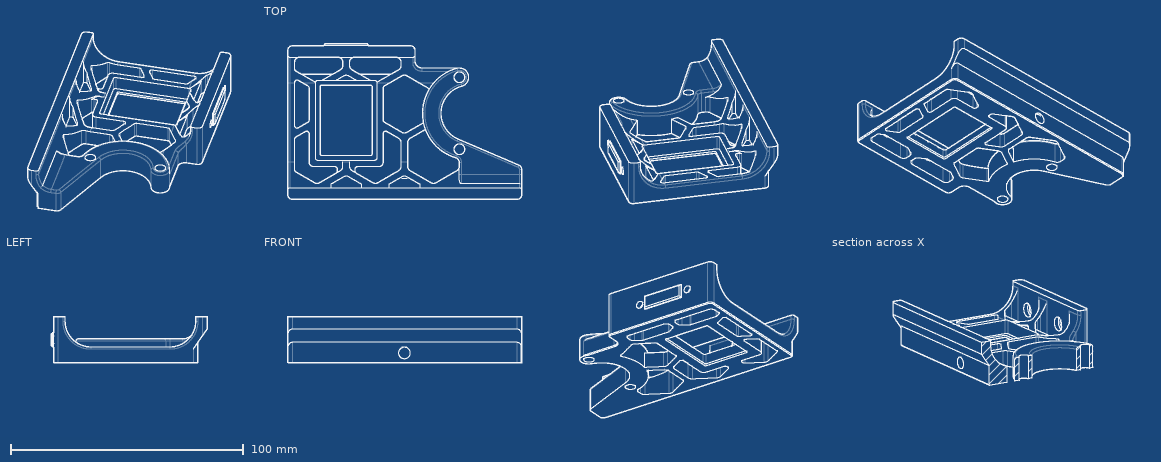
import cadquery as cq
import math

length = 100.5
width = 66.0
height = 20.0
wall = 5.0
rear_wall_length = 54.7
floor_height = 7.0
channel_radius = 11.0
corner_radius = 2.0
edge_round = 1.0
bottom_chamfer = 0.4

undercut_depth = 4.0
undercut_low = 9.0
undercut_high = 14.7

seat_x = 77.85
seat_y = 37.0
seat_inner_radius = 12.0
seat_outer_radius = 20.0
seat_height = 10.5
seat_hole_diameter = 4.5
seat_hole_angle = 15.0
gusset_slope = 23.2
gusset_blend_radius = 5.6
notch_radius = 3.0

cell_pitch = 25.0
cell_rib = 3.0
cell_corner_radius = 2.0
cell_clip_radius = 1.0
grid_x = 50.1
grid_y = 40.95
side_margin = 3.0
small_cell_half_width = 6.6

window_x = 14.0
window_y = 18.9
window_length = 22.2
window_width = 30.1
window_corner_radius = 0.5
recess_margin = 2.1
recess_corner_radius = 1.0
ledge_thickness = 1.0
frame_thickness = 2.75
frame_corner_radius = 2.0
frame_tab_width = 7.7

rear_hole_z = 10.0
rear_hole_diameter = 3.2
counterbore_diameter = 6.0
counterbore_depth = 2.0
front_hole_diameter = 5.0
front_hole_z = 4.4
front_hole_depth = 5.0
pad_length = 19.1
pad_height = 6.2
pad_thickness = 1.0
pad_chamfer = 0.6

wall_inner_front = wall
wall_inner_rear = width - wall
seat_middle_radius = (seat_inner_radius + seat_outer_radius) / 2
lug_radius = (seat_outer_radius - seat_inner_radius) / 2
hole_rise = seat_middle_radius * math.cos(math.radians(seat_hole_angle))
hole_x = seat_x - seat_middle_radius * math.sin(math.radians(seat_hole_angle))
lug_y = seat_y + hole_rise
lug_top = lug_y + lug_radius
lug_turn = 90 + seat_hole_angle
cell_inradius = (cell_pitch - cell_rib) / 2
row_pitch = cell_pitch * math.sqrt(3) / 2
gusset_x = grid_x + cell_pitch / 2 + cell_inradius
recess_x = window_x - recess_margin
recess_y = window_y - recess_margin
recess_length = window_length + 2 * recess_margin
recess_width = window_width + 2 * recess_margin
frame_x = recess_x - frame_thickness
frame_y = recess_y - frame_thickness
frame_length = recess_length + 2 * frame_thickness
frame_width = recess_width + 2 * frame_thickness
frame_rear = frame_y + frame_width

rear_row = 1
rear_columns = (-1.5, -0.5)
columns_of_rows = {-1: (-1.5, -0.5, 0.5), 0: (-2, -1, 0), rear_row: rear_columns}
small_cell_columns = (-1, 0)


def box(x0, x1, y0, y1, z0, z1):
    """Block between two limits along each axis."""
    return cq.Workplane("XY").box(x1 - x0, y1 - y0, z1 - z0, centered=False).translate((x0, y0, z0))


def seat_point(radius, angle):
    """Point at a radius from the seat centre, its angle counted from +X in degrees."""
    turn = math.radians(angle)
    return (seat_x + radius * math.cos(turn), seat_y + radius * math.sin(turn))


def lug_point(angle):
    """Point on the rounded end of the seat, its angle counted from +X in degrees."""
    turn = math.radians(angle)
    return (hole_x + lug_radius * math.cos(turn), lug_y + lug_radius * math.sin(turn))


def upright(x, y):
    """Selects the vertical edge standing at a place in plan."""
    return cq.selectors.BoxSelector((x - 0.1, y - 0.1, -1), (x + 0.1, y + 0.1, height + 1))


def round_corners(prism):
    """Round the vertical edges where two flat sides of a clipped cell meet."""
    curved_edges = prism.faces("%CYLINDER").edges("|Z").vals()
    sharp = prism.edges("|Z").filter(lambda edge: not any(edge.isSame(other) for other in curved_edges))
    if sharp.size() == 0:
        return prism
    return sharp.fillet(cell_clip_radius)


def plan_prism():
    """Plan outline of the whole part, extruded over its full height."""
    tangent_point = seat_point(seat_inner_radius, 270 - gusset_slope)
    fall = (length - tangent_point[0]) * math.tan(math.radians(gusset_slope))
    gusset_end_y = tangent_point[1] - fall
    prism = (
        cq.Workplane("XY")
        .lineTo(length, 0)
        .lineTo(length, gusset_end_y)
        .lineTo(*tangent_point)
        .threePointArc(seat_point(seat_inner_radius, 180), seat_point(seat_inner_radius, lug_turn))
        .threePointArc(lug_point(seat_hole_angle), (hole_x, lug_top))
        .lineTo(rear_wall_length, lug_top)
        .lineTo(rear_wall_length, width)
        .lineTo(0, width)
        .close()
        .extrude(height)
    )
    prism = prism.edges(upright(length, gusset_end_y)).fillet(corner_radius)
    return prism.edges(upright(rear_wall_length, lug_top)).fillet(notch_radius)


def channel():
    """Floor and two walls joined by large radii, trimmed to the plan outline."""
    arc_offset = channel_radius * (1 - math.sqrt(0.5))
    spring = floor_height + channel_radius
    profile = (
        cq.Workplane("YZ")
        .moveTo(undercut_depth, 0)
        .lineTo(width, 0)
        .lineTo(width, height)
        .lineTo(wall_inner_rear, height)
        .lineTo(wall_inner_rear, spring)
        .threePointArc((wall_inner_rear - arc_offset, floor_height + arc_offset),
                       (wall_inner_rear - channel_radius, floor_height))
        .lineTo(wall_inner_front + channel_radius, floor_height)
        .threePointArc((wall_inner_front + arc_offset, floor_height + arc_offset),
                       (wall_inner_front, spring))
        .lineTo(wall_inner_front, height)
        .lineTo(0, height)
        .lineTo(0, undercut_high)
        .lineTo(undercut_depth, undercut_low)
        .close()
        .extrude(length)
    )
    body = profile.intersect(plan_prism())
    outer_corners = (
        cq.selectors.BoxSelector((-1, -1, -1), (length + 1, undercut_depth + 0.1, height + 1))
        + cq.selectors.BoxSelector((-1, width - 0.1, -1), (length + 1, width + 1, height + 1))
    )
    body = body.edges("|Z").edges(outer_corners).fillet(corner_radius)
    body = body.faces("<Z").edges().chamfer(bottom_chamfer)
    inner_ends = (
        cq.selectors.BoxSelector((-0.1, 20, floor_height - 1), (0.1, 40, floor_height + 1))
        + cq.selectors.BoxSelector((length - 0.1, wall - 0.1, spring + 0.5),
                                   (length + 0.1, wall + 0.1, height - 0.5))
    )
    return body.edges(inner_ends).fillet(edge_round)


def hexagon(x, y, bottom, top):
    """Prism of one honeycomb cell with a corner pointing along +Y."""
    cell = cq.Workplane("XY").polygon(6, 2 * cell_inradius, circumscribed=True).extrude(top - bottom)
    return cell.edges("|Z").fillet(cell_corner_radius).translate((x, y, bottom))


def cell_places():
    """Row number and centre of every cell, alternate rows shifted half a pitch."""
    places = []
    for row, columns in columns_of_rows.items():
        for column in columns:
            places.append((row, grid_x + column * cell_pitch, grid_y + row * row_pitch))
    return places


def cut_honeycomb(body):
    """Sink every cell to floor level, and pierce the floor where no frame or tab is in the way."""
    field = box(side_margin, length, wall_inner_front, wall_inner_rear, 0, height)
    wall_face = cq.selectors.BoxSelector((0, wall_inner_rear - 0.1, -1), (length, width, height + 1))
    frame = box(frame_x, frame_x + frame_length, frame_y, frame_rear, 0, height)
    frame = frame.edges("|Z").fillet(frame_corner_radius)
    tab_x = grid_x - cell_pitch - frame_tab_width / 2
    kept = frame.union(box(tab_x, tab_x + frame_tab_width, 0, frame_y + frame_corner_radius, 0, height))
    in_front = box(0, length, 0, frame_rear, 0, height)
    above_floor = box(0, length, 0, width, floor_height, height)
    for row, x, y in cell_places():
        cell = hexagon(x, y, 0, height).intersect(field)
        if row == rear_row:
            cell = cell.edges("|Z").edges(wall_face).fillet(cell_corner_radius)
        body = body.cut(round_corners(cell).intersect(above_floor))
        opening = cell.cut(in_front if row == rear_row else kept)
        body = body.cut(round_corners(opening))
    return body


def cut_small_cells(body):
    """Shallow cells at the foot of the front wall, on the row just outside the honeycomb."""
    for column in small_cell_columns:
        x = grid_x + column * cell_pitch
        reach = box(x - small_cell_half_width, x + small_cell_half_width, wall_inner_front, width, 0, height)
        pocket = hexagon(x, grid_y - 2 * row_pitch, floor_height, height).intersect(reach)
        body = body.cut(pocket)
    return body


def cut_window(body):
    """Rectangular window with a thin ledge around its underside."""
    recess = box(recess_x, recess_x + recess_length, recess_y, recess_y + recess_width, ledge_thickness, height)
    window = box(window_x, window_x + window_length, window_y, window_y + window_width, 0, height)
    body = body.cut(recess.edges("|Z").fillet(recess_corner_radius))
    return body.cut(window.edges("|Z").fillet(window_corner_radius))


def seat_footprint():
    """Plan of the raised arc and gusset; the arc's back turns a rounded corner into the gusset side."""
    meet_y = seat_y - math.sqrt(seat_outer_radius**2 - (gusset_x - seat_x) ** 2)
    footprint = (
        cq.Workplane("XY")
        .moveTo(gusset_x, 0)
        .lineTo(gusset_x, meet_y)
        .threePointArc(seat_point(seat_outer_radius, 180), seat_point(seat_outer_radius, lug_turn))
        .threePointArc(lug_point(90 + seat_hole_angle / 2), (hole_x, lug_top))
        .lineTo(length, lug_top)
        .lineTo(length, 0)
        .close()
        .extrude(height)
    )
    return footprint.edges(upright(gusset_x, meet_y)).fillet(corner_radius)


def seat():
    """Raised arc and gusset, blended up into the front wall and rounded along the top edges."""
    blend_offset = gusset_blend_radius * (1 - math.sqrt(0.5))
    blend_top = seat_height + gusset_blend_radius
    section = (
        cq.Workplane("YZ")
        .moveTo(wall, 0)
        .lineTo(width, 0)
        .lineTo(width, seat_height)
        .lineTo(wall + gusset_blend_radius, seat_height)
        .threePointArc((wall + blend_offset, seat_height + blend_offset), (wall, blend_top))
        .close()
        .extrude(length)
    )
    raised = section.intersect(seat_footprint()).intersect(plan_prism())
    return raised.faces("+Z").edges("not |X").fillet(edge_round)


def rod_y(x, y, z, diameter, depth):
    """Cylinder running toward +Y from the given start."""
    start = cq.Workplane("XZ", origin=(x, y, z))
    return start.circle(diameter / 2).extrude(-depth)


def cut_fixings(body):
    """Seat holes, counterbored rear wall holes and the blind front hole."""
    for y in (seat_y - hole_rise, seat_y + hole_rise):
        body = body.cut(cq.Workplane("XY").center(hole_x, y).circle(seat_hole_diameter / 2).extrude(height))
    for column in rear_columns:
        x = grid_x + column * cell_pitch
        body = body.cut(rod_y(x, wall_inner_rear, rear_hole_z, rear_hole_diameter, wall))
        body = body.cut(rod_y(x, wall_inner_rear, rear_hole_z, counterbore_diameter, counterbore_depth))
    return body.cut(rod_y(grid_x, undercut_depth, front_hole_z, front_hole_diameter, front_hole_depth))


def rear_pad():
    """Raised rectangular pad on the back of the rear wall."""
    x = grid_x - cell_pitch
    z = rear_hole_z
    pad = box(x - pad_length / 2, x + pad_length / 2, width, width + pad_thickness,
              z - pad_height / 2, z + pad_height / 2)
    return pad.faces(">Y").edges().chamfer(pad_chamfer)


result = cut_small_cells(cut_honeycomb(channel()))
result = cut_window(result).union(seat())
result = cut_fixings(result).union(rear_pad())